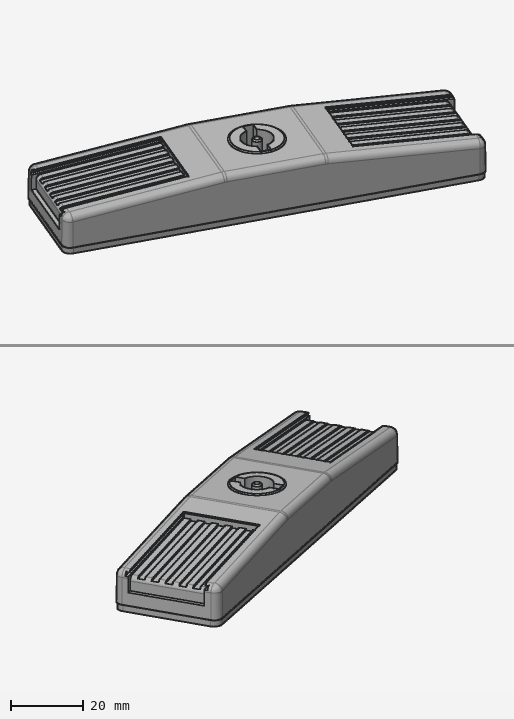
import cadquery as cq
import math

width = 32.0
length = 125.0
height = 16.4
wall_draft = 1.0
corner_radius = 2.5
roof_edge_radius = 2.2

base_height = 2.0
base_setback = 0.25

flat_half_length = 15.0
slope_angle = math.radians(5.0)
crease_radius = 10.0

grip_width = 23.0
grip_inner_y = 24.25
grip_drop = 2.0
ledge_z = 6.0
grip_end_inset = 1.5
grip_end_radius = 1.5

groove_drop = 0.5
groove_count = 5

lip_thickness = 0.5
channel_height = 1.0
channel_depth = 1.0
rear_relief = 0.15

lock_diameter = 16.2
lock_rise = 0.35
lock_rim_width = 0.5
lock_tail_top_diameter = 16.0
lock_tail_tip_diameter = 13.6
lock_tail_height = 1.5
keyhole_diameter = 9.4
key_slot_width = 3.0
key_slot_length = 14.6
keyhole_depth = 10.0
key_post_diameter = 2.9
key_post_chamfer = 0.5

pin_spacing = 60.0
pin_diameter = 4.75
pin_drop = 6.5
pin_tip_diameter = 3.9
pin_tip_height = 0.75
collar_diameter = 7.5
collar_height = 1.25

half_length = length / 2
groove_width = grip_width / (2 * groove_count + 1)
grip_end_y = half_length - grip_end_inset
lock_top_z = height + lock_rise


def roof_z(y):
    """Height of the sloping roof at a distance y from the middle."""
    return height - math.tan(slope_angle) * (y - flat_half_length)


def roof_profile_prism():
    """Everything below the roof line, over the full width."""
    arc_start = flat_half_length - crease_radius * math.tan(slope_angle / 2)
    arc_end = arc_start + crease_radius * math.sin(slope_angle)
    arc_mid_y = arc_start + crease_radius * math.sin(slope_angle / 2)
    arc_mid_z = height - crease_radius * (1 - math.cos(slope_angle / 2))
    end_z = roof_z(half_length)
    return (
        cq.Workplane("YZ", origin=(-width / 2, 0, 0))
        .moveTo(-half_length, 0)
        .lineTo(half_length, 0)
        .lineTo(half_length, end_z)
        .lineTo(arc_end, roof_z(arc_end))
        .threePointArc((arc_mid_y, arc_mid_z), (arc_start, height))
        .lineTo(-arc_start, height)
        .threePointArc((-arc_mid_y, arc_mid_z), (-arc_end, roof_z(arc_end)))
        .lineTo(-half_length, end_z)
        .close()
        .extrude(width)
    )


def slope_slab(top_drop, bottom_drop, slab_width, inner_y, outer_y):
    """Slab parallel to the sloping roof, between two depths below it."""
    return (
        cq.Workplane("YZ", origin=(-slab_width / 2, 0, 0))
        .moveTo(inner_y, roof_z(inner_y) - bottom_drop)
        .lineTo(outer_y, roof_z(outer_y) - bottom_drop)
        .lineTo(outer_y, roof_z(outer_y) - top_drop)
        .lineTo(inner_y, roof_z(inner_y) - top_drop)
        .close()
        .extrude(slab_width)
    )


def grip_floor_block():
    """Material left standing in the grip recess, with a rounded, grooved top."""
    inner_y = grip_inner_y - rear_relief
    block = (
        cq.Workplane("YZ", origin=(-grip_width / 2, 0, 0))
        .moveTo(inner_y, ledge_z)
        .lineTo(grip_end_y, ledge_z)
        .lineTo(grip_end_y, roof_z(grip_end_y) - grip_drop)
        .lineTo(inner_y, roof_z(inner_y) - grip_drop)
        .close()
        .extrude(grip_width)
    )
    block = block.faces(">Y").edges(">Z").fillet(grip_end_radius)
    groove = slope_slab(0, grip_drop + groove_drop, groove_width, inner_y, half_length)
    for i in range(groove_count):
        x = (2 * i - groove_count + 1) * groove_width
        block = block.cut(groove.translate((x, 0, 0)))
    return block


def grip_recess():
    """Volume removed from the housing for the grip at the +Y end."""
    depth = half_length - grip_inner_y
    opening = (
        cq.Workplane("XY", origin=(0, grip_inner_y + depth / 2, ledge_z))
        .rect(grip_width, depth)
        .extrude(height - ledge_z)
    )
    channel_floor = lip_thickness + channel_height
    channel_span = grip_width + 2 * channel_depth
    channels = slope_slab(lip_thickness, channel_floor, channel_span, grip_inner_y, half_length)
    rear_y = grip_inner_y - rear_relief
    relief = slope_slab(lip_thickness, grip_drop + groove_drop, grip_width, rear_y, grip_end_y)
    return opening.union(channels).union(relief).cut(grip_floor_block())


def lock_hole():
    return cq.Workplane("XY").circle(lock_diameter / 2).extrude(height)


def make_housing():
    outline = cq.Sketch().rect(width, length).vertices().fillet(corner_radius)
    housing = (
        cq.Workplane("XY", origin=(0, 0, base_height))
        .placeSketch(outline)
        .extrude(height - base_height, taper=wall_draft)
        .intersect(roof_profile_prism())
    )
    housing = housing.faces(">Z").edges("<X").fillet(roof_edge_radius)
    recess = grip_recess()
    for angle in (0, 180):
        housing = housing.cut(recess.rotate((0, 0, 0), (0, 0, 1), angle))
    return housing.cut(lock_hole())


def make_pin(y):
    shank_drop = pin_drop - pin_tip_height
    return (
        cq.Workplane("XZ")
        .moveTo(0, 0)
        .lineTo(collar_diameter / 2, 0)
        .lineTo(collar_diameter / 2, -collar_height)
        .lineTo(pin_diameter / 2, -collar_height)
        .lineTo(pin_diameter / 2, -shank_drop)
        .lineTo(pin_tip_diameter / 2, -pin_drop)
        .lineTo(0, -pin_drop)
        .close()
        .revolve(360, (0, 0, 0), (0, 1, 0))
        .translate((0, y, 0))
    )


def make_base():
    base = (
        cq.Workplane("XY")
        .rect(width - 2 * base_setback, length - 2 * base_setback)
        .extrude(base_height)
        .edges("|Z")
        .fillet(corner_radius)
    )
    for y in (-pin_spacing / 2, pin_spacing / 2):
        base = base.union(make_pin(y))
    return base.cut(lock_hole())


def make_lock():
    lock = (
        cq.Workplane("XZ")
        .moveTo(0, -lock_tail_height)
        .lineTo(lock_tail_tip_diameter / 2, -lock_tail_height)
        .lineTo(lock_tail_top_diameter / 2, 0)
        .lineTo(lock_diameter / 2, 0)
        .lineTo(lock_diameter / 2, height)
        .lineTo(lock_diameter / 2 - lock_rim_width, lock_top_z)
        .lineTo(0, lock_top_z)
        .close()
        .revolve(360, (0, 0, 0), (0, 1, 0))
    )
    top = cq.Workplane("XY", origin=(0, 0, lock_top_z))
    keyhole = top.circle(keyhole_diameter / 2).extrude(-keyhole_depth)
    keyhole = keyhole.union(top.rect(key_slot_length, key_slot_width).extrude(-keyhole_depth))
    post = top.circle(key_post_diameter / 2).extrude(-keyhole_depth)
    post = post.faces(">Z").chamfer(key_post_chamfer)
    return lock.cut(keyhole.cut(post))


housing = make_housing()
base = make_base()
lock = make_lock()

result = cq.Compound.makeCompound([housing.val(), base.val(), lock.val()])